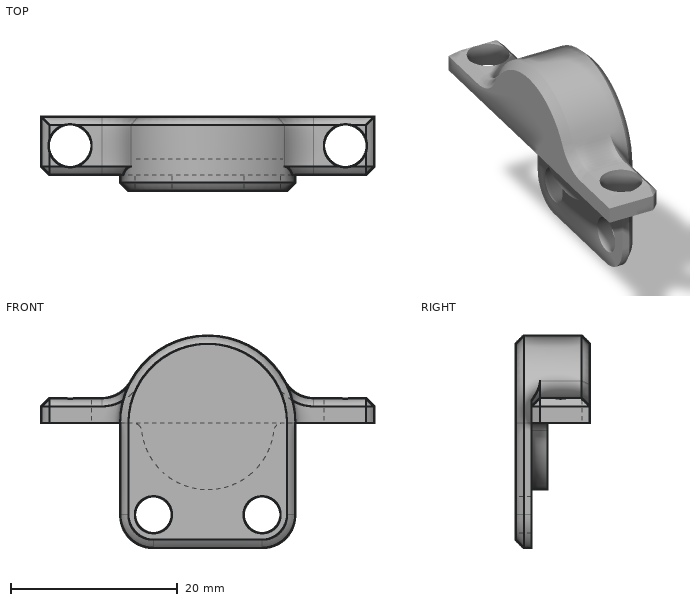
import math
import cadquery as cq

length = 40.0
dome_radius = 10.5
plate_drop = 15.0
plate_thickness = 1.9
housing_depth = 7.0
corner_radius = 4.0
chamfer = 1.0

arm_height = 3.0
arm_fillet = 4.0
arm_hole_diameter = 5.1
arm_hole_x = 16.5

plate_hole_diameter = 4.4
boss_radius = 8.0
boss_depth = 1.9
boss_fillet = 1.0

half_length = length / 2
total_depth = housing_depth + plate_thickness
plate_hole_x = dome_radius - corner_radius
plate_hole_z = corner_radius - plate_drop


def extrude_back(profile, front_y, depth):
    """Place an XZ profile at front_y and extrude it toward +Y."""
    return profile.extrude(-depth).translate((0, front_y, 0))


def make_housing():
    """Dome with two arms, chamfered along its upper outline, arm ends and front corners."""
    blend_z = arm_height + arm_fillet
    center_distance = dome_radius + arm_fillet
    blend_x = math.sqrt(center_distance**2 - blend_z**2)
    tangent_x = blend_x * dome_radius / center_distance
    tangent_z = blend_z * dome_radius / center_distance
    blend_angle = (math.pi / 2 + math.atan2(blend_z, blend_x)) / 2
    middle_x = blend_x - arm_fillet * math.cos(blend_angle)
    middle_z = blend_z - arm_fillet * math.sin(blend_angle)

    profile = (
        cq.Workplane("XZ")
        .moveTo(-half_length, 0)
        .lineTo(-half_length, arm_height)
        .lineTo(-blend_x, arm_height)
        .threePointArc((-middle_x, middle_z), (-tangent_x, tangent_z))
        .threePointArc((0, dome_radius), (tangent_x, tangent_z))
        .threePointArc((middle_x, middle_z), (blend_x, arm_height))
        .lineTo(half_length, arm_height)
        .lineTo(half_length, 0)
        .close()
    )
    housing = extrude_back(profile, -housing_depth, housing_depth)
    front_corners = housing.edges("|Z and <Y")
    end_top_edges = housing.edges("|Y").edges("<X or >X").edges(">Z")
    rim = housing.faces("<Y or >Y").edges("not(|Z or <Z)")
    return rim.add(front_corners).add(end_top_edges).chamfer(chamfer)


def make_dome():
    """Half-round slice that keeps the full dome radius across the front chamfer of the housing."""
    profile = (
        cq.Workplane("XZ")
        .moveTo(-dome_radius, 0)
        .threePointArc((0, dome_radius), (dome_radius, 0))
        .close()
    )
    return extrude_back(profile, -housing_depth, chamfer)


def make_plate():
    """Front plate: round top, rounded lower corners and a chamfered front rim."""
    profile = (
        cq.Workplane("XZ")
        .moveTo(-dome_radius, 0)
        .threePointArc((0, dome_radius), (dome_radius, 0))
        .lineTo(dome_radius, -plate_drop)
        .lineTo(-dome_radius, -plate_drop)
        .close()
    )
    plate = extrude_back(profile, -total_depth, plate_thickness)
    plate = plate.edges("|Y and <Z").fillet(corner_radius)
    return plate.faces("<Y").edges().chamfer(chamfer)


def make_boss():
    """Half-round boss behind the plate, blended into the flat underside of the housing."""
    center_distance = boss_radius + boss_fillet
    blend_x = math.sqrt(center_distance**2 - boss_fillet**2)
    tangent_x = blend_x * boss_radius / center_distance
    tangent_z = -boss_fillet * boss_radius / center_distance
    blend_angle = (math.pi / 2 - math.atan2(boss_fillet, blend_x)) / 2
    middle_x = blend_x - boss_fillet * math.cos(blend_angle)
    middle_z = -boss_fillet + boss_fillet * math.sin(blend_angle)

    profile = (
        cq.Workplane("XZ")
        .moveTo(-blend_x, 0)
        .threePointArc((-middle_x, middle_z), (-tangent_x, tangent_z))
        .threePointArc((0, -boss_radius), (tangent_x, tangent_z))
        .threePointArc((middle_x, middle_z), (blend_x, 0))
        .close()
    )
    return extrude_back(profile, -housing_depth, boss_depth)


def make_arm_holes():
    """Vertical through-hole cutters, centered in the depth of the arms."""
    centers = [(side * arm_hole_x, -housing_depth / 2) for side in (-1, 1)]
    return cq.Workplane("XY").pushPoints(centers).circle(arm_hole_diameter / 2).extrude(arm_height)


def make_plate_holes():
    """Through-hole cutters concentric with the lower corners of the plate."""
    centers = [(side * plate_hole_x, plate_hole_z) for side in (-1, 1)]
    profile = cq.Workplane("XZ").pushPoints(centers).circle(plate_hole_diameter / 2)
    return extrude_back(profile, -total_depth, plate_thickness)


result = (
    make_housing()
    .union(make_dome())
    .union(make_plate())
    .union(make_boss())
    .cut(make_arm_holes())
    .cut(make_plate_holes())
)